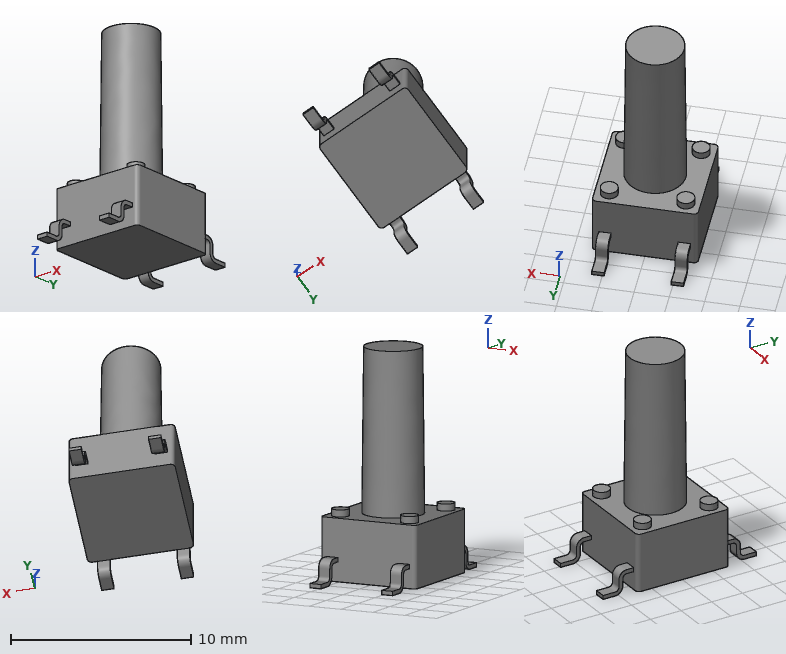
import cadquery as cq

body_side = 6.0
body_height = 3.6
body_corner_radius = 0.25

stem_top_z = 13.0
stem_base_diameter = 3.5
stem_top_diameter = 3.3

rivet_diameter = 1.0
rivet_height = 0.4
rivet_offset = 2.17

lead_span = 10.0
lead_width = 0.7
lead_thickness = 0.25
lead_offset_x = 2.25
lead_bottom_z = -0.07
lead_top_z = 1.38
lead_shank_outer_y = 3.96
bend_inner_radius = 0.25
bend_outer_radius = bend_inner_radius + lead_thickness


def make_body():
    block = cq.Workplane("XY").box(body_side, body_side, body_height, centered=(True, True, False))
    return block.edges("|Z").fillet(body_corner_radius)


def make_stem():
    return (
        cq.Workplane("XY")
        .workplane(offset=body_height)
        .circle(stem_base_diameter / 2)
        .workplane(offset=stem_top_z - body_height)
        .circle(stem_top_diameter / 2)
        .loft(ruled=True)
    )


def make_rivets():
    return (
        cq.Workplane("XY")
        .workplane(offset=body_height)
        .rect(2 * rivet_offset, 2 * rivet_offset, forConstruction=True)
        .vertices()
        .circle(rivet_diameter / 2)
        .extrude(rivet_height)
    )


def make_lead(x_center):
    """S-shaped lead leaving the +Y wall, with its foot pointing along +Y."""
    wall_y = body_side / 2
    tip_y = lead_span / 2
    shank_inner_y = lead_shank_outer_y - lead_thickness
    shoulder_y = lead_shank_outer_y - bend_outer_radius
    foot_y = lead_shank_outer_y + bend_inner_radius
    shoulder_z = lead_top_z - bend_outer_radius
    foot_z = lead_bottom_z + bend_outer_radius
    return (
        cq.Workplane("YZ")
        .workplane(offset=x_center - lead_width / 2)
        .moveTo(wall_y, lead_top_z)
        .lineTo(shoulder_y, lead_top_z)
        .radiusArc((lead_shank_outer_y, shoulder_z), bend_outer_radius)
        .lineTo(lead_shank_outer_y, foot_z)
        .radiusArc((foot_y, lead_bottom_z + lead_thickness), -bend_inner_radius)
        .lineTo(tip_y, lead_bottom_z + lead_thickness)
        .lineTo(tip_y, lead_bottom_z)
        .lineTo(foot_y, lead_bottom_z)
        .radiusArc((shank_inner_y, foot_z), bend_outer_radius)
        .lineTo(shank_inner_y, shoulder_z)
        .radiusArc((shoulder_y, lead_top_z - lead_thickness), -bend_inner_radius)
        .lineTo(wall_y, lead_top_z - lead_thickness)
        .close()
        .extrude(lead_width)
    )


result = make_body().union(make_stem()).union(make_rivets())
for x_center in (-lead_offset_x, lead_offset_x):
    lead = make_lead(x_center)
    result = result.union(lead).union(lead.mirror("XZ"))